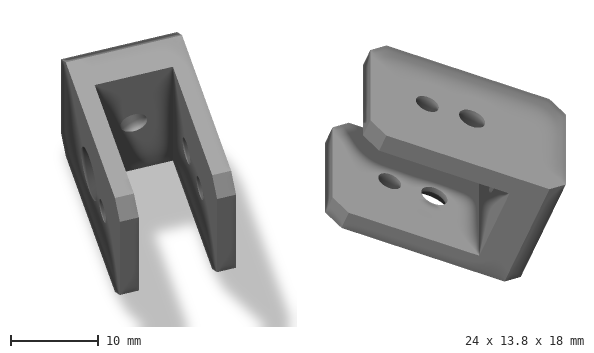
import cadquery as cq

length = 24.0
width = 13.8
height = 18.0
corner_chamfer = 2.0
web_thickness = 6.0
cheek_thickness = 2.25
slot_length = length - web_thickness
slot_width = width - 2 * cheek_thickness

bolt_diameter = 3.2
countersink_diameter = 2 * bolt_diameter
countersink_angle = 90.0
bolt_x = -0.5
pin_diameter = 2.8
pin_x = 5.0


def make_block():
    """Solid block with its four XZ corners chamfered."""
    return cq.Workplane("XY").box(length, width, height).edges("|Y").chamfer(corner_chamfer)


def make_slot():
    """Full-height slot that leaves the web at the -X end."""
    slot_centre_x = web_thickness / 2
    return cq.Workplane("XY").box(slot_length, slot_width, height).translate((slot_centre_x, 0, 0))


def front_face(solid):
    """Workplane on the -Y face, with local x along +X and local y along +Z."""
    return solid.faces("<Y").workplane(origin=(0, 0, 0))


clevis = make_block().cut(make_slot())

clevis = front_face(clevis).center(bolt_x, 0).cskHole(bolt_diameter, countersink_diameter, countersink_angle)
clevis = front_face(clevis).center(pin_x, 0).hole(pin_diameter)

result = clevis.faces("<X").workplane(origin=(0, 0, 0)).hole(bolt_diameter, web_thickness)